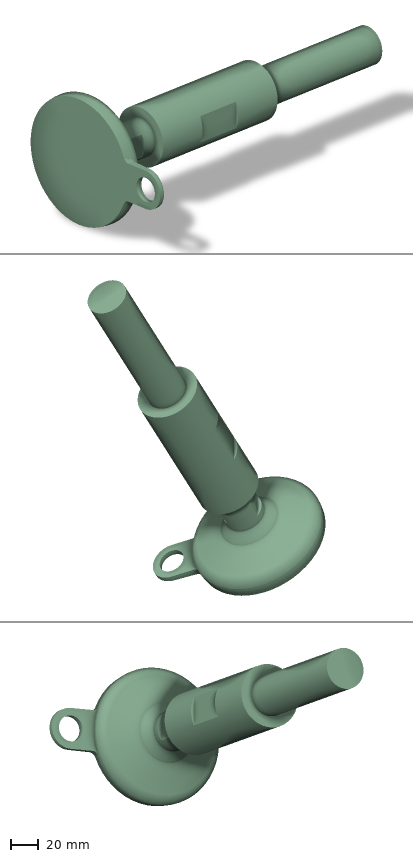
import cadquery as cq

TOTAL_LENGTH = 290.0
FOOT_Y = 0.0

ROD_DIAMETER = 30.0
ROD_FLAT_WIDTH = 23.8
ROD_FLAT_START = 36.5
ROD_FLAT_LENGTH = 15.0

SLEEVE_DIAMETER = 46.0
SLEEVE_START = 62.0
SLEEVE_LENGTH = 114.8
SLEEVE_FLAT_WIDTH = 41.2
SLEEVE_FLAT_LENGTH = 36.0

BASE_RADIUS = 49.3
RIM_RADIUS = 50.02
RIM_LOWER_HEIGHT = 6.0
RIM_UPPER_HEIGHT = 8.7
SHOULDER_RADIUS = 43.0
SHOULDER_HEIGHT = 16.0
SHOULDER_ARC_MID_RADIUS = 47.8
SHOULDER_ARC_MID_HEIGHT = 13.0
CONE_BASE_RADIUS = 22.0
CONE_BASE_HEIGHT = 23.5
CONE_TOP_HEIGHT = 30.7

LUG_WIDTH = 30.0
LUG_HOLE_X = 68.2
LUG_HOLE_DIAMETER = 18.8
LUG_ROOT_THICKNESS = 5.5
LUG_TIP_THICKNESS = 3.8
LUG_ROOT_FILLET = 5.5


def cylinder(diameter, start, length):
    """Cylinder on the Y axis, running from start towards +Y."""
    plane = cq.Plane(origin=(0, start, 0), xDir=(1, 0, 0), normal=(0, 1, 0))
    return cq.Workplane(plane).circle(diameter / 2).extrude(length)


def cut_wrench_flats(body, diameter, flat_width, start, length):
    """Cut two opposite flats, facing -X and +X, over a length of a round body."""
    depth = (diameter - flat_width) / 2
    for side in (-1, 1):
        cutter = cq.Workplane("XY").box(depth, length, diameter)
        cutter = cutter.translate((side * (flat_width + depth) / 2, start + length / 2, 0))
        body = body.cut(cutter)
    return body


def make_foot_plate():
    """Revolved plate that rises through a sloped shoulder and a cone to the rod."""
    return (
        cq.Workplane("XY")
        .moveTo(0, FOOT_Y)
        .lineTo(BASE_RADIUS, FOOT_Y)
        .lineTo(RIM_RADIUS, RIM_LOWER_HEIGHT)
        .lineTo(RIM_RADIUS, RIM_UPPER_HEIGHT)
        .threePointArc(
            (SHOULDER_ARC_MID_RADIUS, SHOULDER_ARC_MID_HEIGHT), (SHOULDER_RADIUS, SHOULDER_HEIGHT)
        )
        .lineTo(CONE_BASE_RADIUS, CONE_BASE_HEIGHT)
        .lineTo(ROD_DIAMETER / 2, CONE_TOP_HEIGHT)
        .lineTo(0, CONE_TOP_HEIGHT)
        .close()
        .revolve(360, (0, 0, 0), (0, 1, 0))
    )


def make_lug():
    """Flat lug with a round end, a hole and root fillets, thinner towards its tip."""
    lug_tip_x = LUG_HOLE_X + LUG_WIDTH / 2
    bar = cq.Workplane("XY").box(LUG_HOLE_X, LUG_ROOT_THICKNESS, LUG_WIDTH, centered=(False, False, True))
    round_end = cylinder(LUG_WIDTH, FOOT_Y, LUG_ROOT_THICKNESS).translate((LUG_HOLE_X, 0, 0))
    disc = cylinder(2 * BASE_RADIUS, FOOT_Y, LUG_ROOT_THICKNESS)
    lug = disc.union(bar).union(round_end)

    root_x = (BASE_RADIUS**2 - (LUG_WIDTH / 2) ** 2) ** 0.5
    for side in (-1, 1):
        root_point = (root_x, LUG_ROOT_THICKNESS / 2, side * LUG_WIDTH / 2)
        lug = lug.edges("|Y").edges(cq.NearestToPointSelector(root_point)).fillet(LUG_ROOT_FILLET)

    taper = (
        cq.Workplane("XY")
        .moveTo(0, FOOT_Y)
        .lineTo(lug_tip_x, FOOT_Y)
        .lineTo(lug_tip_x, LUG_TIP_THICKNESS)
        .lineTo(BASE_RADIUS, LUG_ROOT_THICKNESS)
        .lineTo(0, LUG_ROOT_THICKNESS)
        .close()
        .extrude(BASE_RADIUS, both=True)
    )
    hole = cylinder(LUG_HOLE_DIAMETER, FOOT_Y, LUG_ROOT_THICKNESS).translate((LUG_HOLE_X, 0, 0))
    return lug.intersect(taper).cut(hole)


def make_spindle_foot():
    """Foot plate with its lug and the long rod, in one piece."""
    rod = cylinder(ROD_DIAMETER, FOOT_Y, TOTAL_LENGTH)
    rod = cut_wrench_flats(rod, ROD_DIAMETER, ROD_FLAT_WIDTH, ROD_FLAT_START, ROD_FLAT_LENGTH)
    return make_foot_plate().union(make_lug()).union(rod)


def make_sleeve():
    """Tube around the rod, with wrench flats at the middle of its length."""
    sleeve = cylinder(SLEEVE_DIAMETER, SLEEVE_START, SLEEVE_LENGTH)
    flat_start = SLEEVE_START + (SLEEVE_LENGTH - SLEEVE_FLAT_LENGTH) / 2
    sleeve = cut_wrench_flats(sleeve, SLEEVE_DIAMETER, SLEEVE_FLAT_WIDTH, flat_start, SLEEVE_FLAT_LENGTH)
    return sleeve.cut(cylinder(ROD_DIAMETER, SLEEVE_START, SLEEVE_LENGTH))


spindle_foot = make_spindle_foot()
sleeve = make_sleeve()

result = cq.Compound.makeCompound([spindle_foot.solids().val(), sleeve.solids().val()])